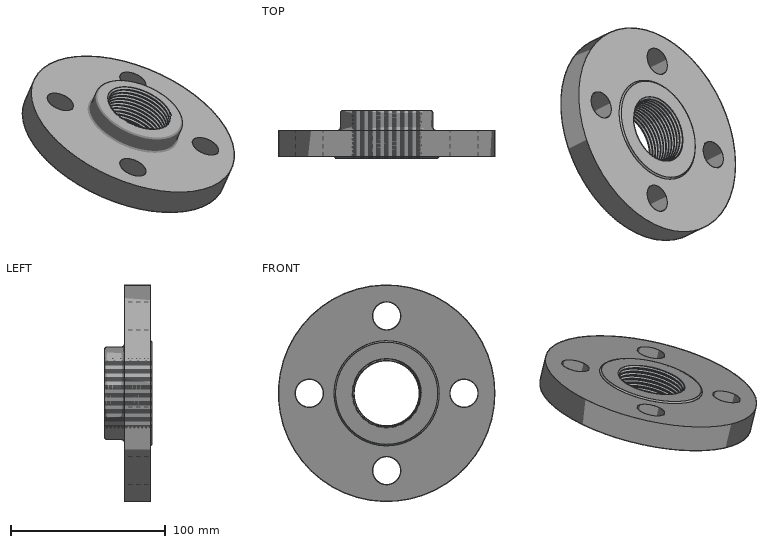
import cadquery as cq
import math

flange_diameter = 140.0
flange_thickness = 17.0
raised_face_diameter = 68.0
raised_face_height = 1.0
hub_diameter = 60.0
hub_height = 13.0
hub_edge_radius = 2.0
hub_root_radius = 2.0

bolt_circle_diameter = 100.0
bolt_hole_diameter = 18.0
bolt_count = 4

thread_minor_diameter = 42.0
thread_major_diameter = 44.75
thread_pitch = 2.54
thread_crest_width = thread_pitch / 4
thread_root_width = thread_pitch / 8
thread_start_angle = 292.0
thread_lead_in = 1.5 * thread_pitch
entry_diameter = 44.0

sealing_face_y = 0.0
flange_front_y = sealing_face_y + raised_face_height
flange_back_y = flange_front_y + flange_thickness
hub_end_y = flange_back_y + hub_height
total_length = hub_end_y - sealing_face_y


def make_body():
    """Flange, bevelled raised face and filleted hub from one half section."""
    flange_radius = flange_diameter / 2
    raised_radius = raised_face_diameter / 2
    hub_radius = hub_diameter / 2
    diagonal = math.sqrt(0.5)
    root_centre = (hub_radius + hub_root_radius, flange_back_y + hub_root_radius)
    edge_centre = (hub_radius - hub_edge_radius, hub_end_y - hub_edge_radius)
    return (
        cq.Workplane("XY")
        .moveTo(0, sealing_face_y)
        .lineTo(raised_radius - raised_face_height, sealing_face_y)
        .lineTo(raised_radius, flange_front_y)
        .lineTo(flange_radius, flange_front_y)
        .lineTo(flange_radius, flange_back_y)
        .lineTo(root_centre[0], flange_back_y)
        .threePointArc(
            (root_centre[0] - hub_root_radius * diagonal, root_centre[1] - hub_root_radius * diagonal),
            (hub_radius, root_centre[1]),
        )
        .lineTo(hub_radius, edge_centre[1])
        .threePointArc(
            (edge_centre[0] + hub_edge_radius * diagonal, edge_centre[1] + hub_edge_radius * diagonal),
            (edge_centre[0], hub_end_y),
        )
        .lineTo(0, hub_end_y)
        .close()
        .revolve(360, (0, 0, 0), (0, 1, 0))
    )


def make_bolt_holes():
    """Four through holes on the bolt circle, one on each axis direction."""
    return (
        cq.Workplane("XZ", origin=(0, sealing_face_y, 0))
        .polarArray(bolt_circle_diameter / 2, 0, 360, bolt_count)
        .circle(bolt_hole_diameter / 2)
        .extrude(-total_length)
    )


def make_helix(radius, start):
    """One turn of a right-handed helix about Z, beginning at the given height."""
    wire = cq.Wire.makeHelix(thread_pitch, thread_pitch, radius)
    return wire.Edges()[0].translate(cq.Vector(0, 0, start))


def make_threaded_bore():
    """Solid of the bore and its thread groove, running past both ends of the part.

    One pitch of the thread profile is carried round as helical faces, turn by turn.
    A helicoid and a flat closing face shut each end of the solid.
    """
    minor_radius = thread_minor_diameter / 2
    major_radius = thread_major_diameter / 2
    flank_length = (thread_pitch - thread_crest_width - thread_root_width) / 2
    profile = [
        (minor_radius, 0),
        (minor_radius, thread_crest_width),
        (major_radius, thread_crest_width + flank_length),
        (major_radius, thread_pitch - flank_length),
        (minor_radius, thread_pitch),
    ]
    helices = [make_helix(radius, start) for radius, start in profile]
    turn_faces = [cq.Face.makeRuledSurface(lower, upper) for lower, upper in zip(helices, helices[1:])]

    axis_edge = cq.Edge.makeLine(cq.Vector(0, 0, 0), cq.Vector(0, 0, thread_pitch))
    closing_points = [cq.Vector(0, 0, 0)]
    closing_points += [cq.Vector(radius, 0, height) for radius, height in profile]
    closing_points += [cq.Vector(0, 0, thread_pitch)]
    end_faces = [
        cq.Face.makeRuledSurface(axis_edge, helices[0]),
        cq.Face.makeFromWires(cq.Wire.makePolygon(closing_points, close=True)),
    ]

    turns = math.ceil(total_length / thread_pitch) + 2
    faces = []
    for turn in range(turns):
        rise = cq.Vector(0, 0, turn * thread_pitch)
        faces += [face.translate(rise) for face in turn_faces]
    for end_height in (0, turns * thread_pitch):
        faces += [face.translate(cq.Vector(0, 0, end_height)) for face in end_faces]
    solid = cq.Solid.makeSolid(cq.Shell.makeShell(faces)).fix()
    return (
        cq.Workplane(solid)
        .rotate((0, 0, 0), (0, 0, 1), thread_start_angle)
        .rotate((0, 0, 0), (1, 0, 0), -90)
        .translate((0, sealing_face_y - thread_lead_in, 0))
    )


def make_entry_bevel():
    """Conical countersink that opens the thread at the sealing face."""
    entry_radius = entry_diameter / 2
    return (
        cq.Workplane("XY")
        .moveTo(0, sealing_face_y)
        .lineTo(entry_radius, sealing_face_y)
        .lineTo(0, sealing_face_y + entry_radius)
        .close()
        .revolve(360, (0, 0, 0), (0, 1, 0))
    )


result = make_body().cut(make_bolt_holes()).cut(make_threaded_bore()).cut(make_entry_bevel())